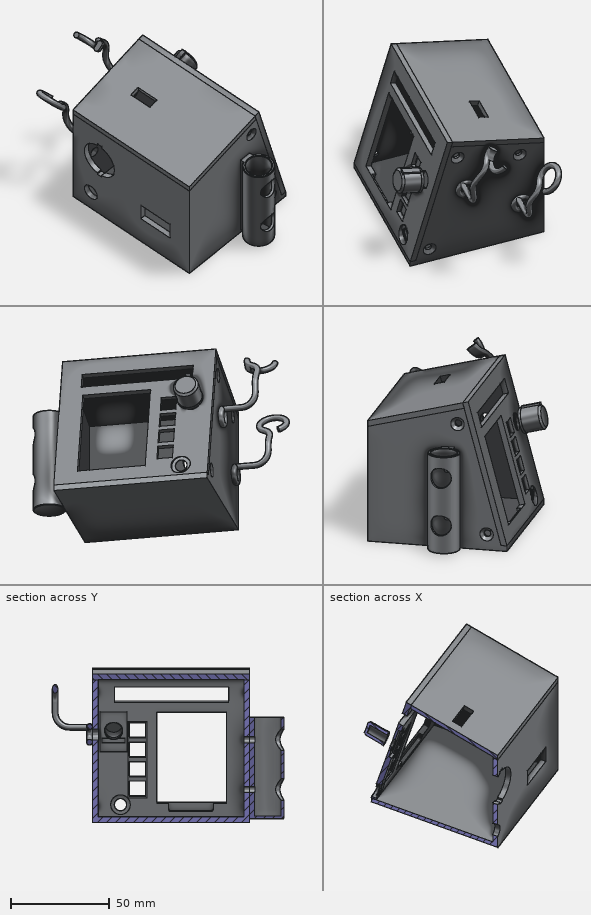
import cadquery as cq
import math

WIDTH = 80.0
DEPTH = 73.0
APEX_Y = 52.7
APEX_Z = 78.6
WALL = 3.0
TILT = 15.0
SIN = math.sin(math.radians(TILT))
COS = math.cos(math.radians(TILT))
THROUGH = 3 * WALL

APEX = (0, APEX_Y, APEX_Z)
PANEL_PLANE = cq.Plane(origin=APEX, xDir=(1, 0, 0), normal=(0, COS, SIN))
LID_PLANE = cq.Plane(origin=APEX, xDir=(-1, 0, 0), normal=(0, -SIN, COS))


def lid_z(y, inset=0.0):
    """Height of the lid face, or of a plane inset from it, at a given Y."""
    return APEX_Z - inset / COS - (APEX_Y - y) * SIN / COS


def panel_y(z, inset=0.0):
    """Y of the panel face, or of a plane inset from it, at a given height."""
    return APEX_Y - inset / COS + (APEX_Z - z) * SIN / COS


def profile(points, x_start, x_end):
    """Prism along X from an outline in Y and Z."""
    prism = cq.Workplane("YZ", origin=(x_start, 0, 0)).polyline(points).close()
    return prism.extrude(x_end - x_start)


def slope_box(plane, x_range, slope_range, top, bottom):
    """Box in a sloping frame between two depths below its outer face."""
    x0, x1 = x_range
    s0, s1 = slope_range
    box = cq.Workplane(plane).workplane(offset=-bottom)
    return box.center((x0 + x1) / 2, (s0 + s1) / 2).rect(x1 - x0, s1 - s0).extrude(bottom - top)


CORNER_Y = APEX_Y - WALL * COS + WALL * SIN
CORNER_Z = APEX_Z - WALL * COS - WALL * SIN
LID_END_Y = APEX_Y - WALL * COS
LID_END_Z = APEX_Z - WALL * SIN

SCREW_DIAMETER = 3.5
SCREW_HEAD_DIAMETER = 7.0
SCREW_SPOTS = [(47.1, 66.2), (62.4, 8.4)]
LEFT_SCREW_SPOT = (13.2, 57.2)
HOOK_SPOTS = [(43.2, 44.9), (13.0, 25.0)]
HOOK_HOLE_DIAMETER = 5.5

DIAL_X, DIAL_Z, DIAL_DIAMETER = 18.1, 39.7, 20.6
KEYWAY_WIDTH, KEYWAY_HEIGHT = 2.9, 22.5
SOCKET_X, SOCKET_Z = 56.6, 21.9
SOCKET_WIDTH, SOCKET_HEIGHT = 20.0, 10.0
CABLE_X, CABLE_Z, CABLE_DIAMETER = 12.2, 11.9, 8.7

HOLDER_Y = 42.2
HOLDER_SCREW_DIAMETER = 3.0
HOLDER_SCREW_HEIGHTS = [16.9, 42.2]


def x_cylinder(y, z, diameter, x_start, x_end):
    start = cq.Workplane("YZ", origin=(x_start, y, z))
    return start.circle(diameter / 2).extrude(x_end - x_start)


def y_cylinder(x, z, diameter, y_start, y_end):
    start = cq.Workplane("XZ", origin=(x, y_start, z))
    return start.circle(diameter / 2).extrude(y_start - y_end)


def countersunk_hole(spot):
    """Screw hole in the left wall with a conical seat for the head."""
    y, z = spot
    sink = (SCREW_HEAD_DIAMETER - SCREW_DIAMETER) / 2
    seat = cq.Solid.makeCone(
        SCREW_HEAD_DIAMETER / 2, SCREW_DIAMETER / 2, sink, cq.Vector(0, y, z), cq.Vector(1, 0, 0)
    )
    return x_cylinder(y, z, SCREW_DIAMETER, 0, WALL).union(cq.Workplane(seat))


def make_housing():
    outside = [
        (0, 0),
        (DEPTH, 0),
        (DEPTH, WALL),
        (panel_y(WALL, WALL), WALL),
        (CORNER_Y, CORNER_Z),
        (0, lid_z(0, WALL)),
    ]
    body = profile(outside, 0, WIDTH)
    inside = [(WALL, WALL), (DEPTH, WALL), (DEPTH, APEX_Z), (WALL, APEX_Z)]
    body = body.cut(profile(inside, WALL, WIDTH - WALL))

    body = body.cut(y_cylinder(DIAL_X, DIAL_Z, DIAL_DIAMETER, 0, WALL))
    keyway = cq.Workplane("XY").box(KEYWAY_WIDTH, 2 * WALL, KEYWAY_HEIGHT)
    body = body.cut(keyway.translate((DIAL_X, 0, DIAL_Z)))
    socket = cq.Workplane("XY").box(SOCKET_WIDTH, THROUGH, SOCKET_HEIGHT)
    body = body.cut(socket.translate((SOCKET_X, 0, SOCKET_Z)))
    body = body.cut(y_cylinder(CABLE_X, CABLE_Z, CABLE_DIAMETER, 0, WALL))

    for spot in [*SCREW_SPOTS, LEFT_SCREW_SPOT]:
        body = body.cut(countersunk_hole(spot))
    for spot in SCREW_SPOTS:
        mirrored = countersunk_hole(spot).mirror("YZ").translate((WIDTH, 0, 0))
        body = body.cut(mirrored)
    for y, z in HOOK_SPOTS:
        body = body.cut(x_cylinder(y, z, HOOK_HOLE_DIAMETER, 0, WALL))
    for z in HOLDER_SCREW_HEIGHTS:
        body = body.cut(x_cylinder(HOLDER_Y, z, HOLDER_SCREW_DIAMETER, WIDTH - WALL, WIDTH))
    return body


LID_SLOT_X = (18.7, 31.7)
LID_SLOT_Y = (23.2, 28.5)


def make_lid():
    outline = [
        (0, lid_z(0)),
        (0, lid_z(0, WALL)),
        (CORNER_Y, CORNER_Z),
        (LID_END_Y, LID_END_Z),
    ]
    lid = profile(outline, 0, WIDTH)
    x0, x1 = LID_SLOT_X
    y0, y1 = LID_SLOT_Y
    slope_range = ((APEX_Y - y1) / COS, (APEX_Y - y0) / COS)
    return lid.cut(slope_box(LID_PLANE, (-x1, -x0), slope_range, -WALL, THROUGH))


BUTTON_X = (18.7, 26.9)
BUTTON_HEIGHT = 8.0
BUTTON_START = 28.2
BUTTON_PITCH = 10.2
BUTTON_COUNT = 4
BUTTON_RECESS_MARGIN = 0.7
BUTTON_RECESS_DEPTH = 0.7
STRIP_X, STRIP_SLOPE = (11.2, 69.2), (9.2, 17.2)
WINDOW_X, WINDOW_SLOPE = (32.7, 68.1), (22.5, 70.6)
NOTCH_X, NOTCH_DROP, NOTCH_TOP = (38.7, 61.5), 4.2, 0.9
NOTCH_FILLET = 1.2
KNOB_X, KNOB_SLOPE, SHAFT_HOLE_DIAMETER = 10.7, 32.9, 9.1
SHAFT_RECESS_WIDTH, SHAFT_RECESS_HEIGHT, SHAFT_RECESS_DEPTH = 13.7, 21.2, 1.5
GROOVE_WIDTH, GROOVE_SLOPE, GROOVE_DEPTH = 11.7, (36.6, 39.0), 0.5
JACK_X, JACK_Z = 14.2, 9.1
JACK_DIAMETER, JACK_BORE_DIAMETER = 6.1, 10.0
JACK_WEB_START, JACK_WEB = 1.2, 0.5


def make_panel():
    outline = [
        APEX[1:],
        (LID_END_Y, LID_END_Z),
        (panel_y(WALL, WALL), WALL),
        (panel_y(WALL), WALL),
    ]
    panel = profile(outline, 0, WIDTH)

    def opening(x_range, slope_range):
        return slope_box(PANEL_PLANE, x_range, slope_range, -WALL, THROUGH)

    for i in range(BUTTON_COUNT):
        start = BUTTON_START + i * BUTTON_PITCH
        panel = panel.cut(opening(BUTTON_X, (start, start + BUTTON_HEIGHT)))
    panel = panel.cut(opening(STRIP_X, STRIP_SLOPE))
    panel = panel.cut(opening(WINDOW_X, WINDOW_SLOPE))

    window_end = WINDOW_SLOPE[1]
    notch_slope = (window_end - NOTCH_DROP, window_end + NOTCH_DROP)
    notch = slope_box(PANEL_PLANE, NOTCH_X, notch_slope, NOTCH_TOP, THROUGH)
    notch_corners = cq.selectors.ParallelDirSelector(PANEL_PLANE.zDir)
    panel = panel.cut(notch.edges(notch_corners).fillet(NOTCH_FILLET))

    margin = BUTTON_RECESS_MARGIN
    button_end = BUTTON_START + (BUTTON_COUNT - 1) * BUTTON_PITCH + BUTTON_HEIGHT
    button_recess = slope_box(
        PANEL_PLANE,
        (BUTTON_X[0] - margin, BUTTON_X[1] + margin),
        (BUTTON_START - margin, button_end + margin),
        WALL - BUTTON_RECESS_DEPTH,
        THROUGH,
    )
    panel = panel.cut(button_recess)
    shaft_recess = slope_box(
        PANEL_PLANE,
        (KNOB_X - SHAFT_RECESS_WIDTH / 2, KNOB_X + SHAFT_RECESS_WIDTH / 2),
        (KNOB_SLOPE - SHAFT_RECESS_HEIGHT / 2, KNOB_SLOPE + SHAFT_RECESS_HEIGHT / 2),
        WALL - SHAFT_RECESS_DEPTH,
        THROUGH,
    )
    panel = panel.cut(shaft_recess)
    groove = slope_box(
        PANEL_PLANE,
        (KNOB_X - GROOVE_WIDTH / 2, KNOB_X + GROOVE_WIDTH / 2),
        GROOVE_SLOPE,
        WALL - SHAFT_RECESS_DEPTH - GROOVE_DEPTH,
        THROUGH,
    )
    panel = panel.cut(groove)

    shaft_hole = cq.Workplane(PANEL_PLANE).workplane(offset=-THROUGH).center(KNOB_X, KNOB_SLOPE)
    panel = panel.cut(shaft_hole.circle(SHAFT_HOLE_DIAMETER / 2).extrude(2 * THROUGH))

    inner_y = panel_y(JACK_Z, WALL)
    near_end = inner_y - THROUGH
    far_end = inner_y + THROUGH
    web_start = inner_y + JACK_WEB_START
    panel = panel.cut(y_cylinder(JACK_X, JACK_Z, JACK_DIAMETER, near_end, far_end))
    panel = panel.cut(y_cylinder(JACK_X, JACK_Z, JACK_BORE_DIAMETER, near_end, web_start))
    return panel.cut(y_cylinder(JACK_X, JACK_Z, JACK_BORE_DIAMETER, web_start + JACK_WEB, far_end))


KNOB_GAP = 3.2
KNOB_HEIGHT = 11.9
KNOB_DIAMETER = 13.0
KNOB_CHAMFER = 1.1
FLANGE_DIAMETER, FLANGE_HEIGHT = 13.4, 1.2
KNOB_BORE_DIAMETER, KNOB_BORE_DEPTH = 9.1, 10.2
POINTER_WIDTH, POINTER_RADIUS, POINTER_ANGLE = 2.7, 7.4, 8.0


def make_knob():
    base = cq.Workplane(PANEL_PLANE).workplane(offset=KNOB_GAP).center(KNOB_X, KNOB_SLOPE)
    knob = base.circle(KNOB_DIAMETER / 2).extrude(KNOB_HEIGHT)
    outer_face = cq.selectors.DirectionMinMaxSelector(PANEL_PLANE.zDir, True)
    knob = knob.faces(outer_face).chamfer(KNOB_CHAMFER)
    knob = knob.union(base.circle(FLANGE_DIAMETER / 2).extrude(FLANGE_HEIGHT))
    pointer = base.workplane(offset=FLANGE_HEIGHT).transformed(rotate=(0, 0, -POINTER_ANGLE))
    pointer = pointer.center(0, -POINTER_RADIUS / 2).rect(POINTER_WIDTH, POINTER_RADIUS)
    knob = knob.union(pointer.extrude(KNOB_HEIGHT - FLANGE_HEIGHT - KNOB_CHAMFER / 2))
    return knob.cut(base.circle(KNOB_BORE_DIAMETER / 2).extrude(KNOB_BORE_DEPTH))


HOLDER_DIAMETER, HOLDER_BORE_DIAMETER = 16.5, 13.4
HOLDER_BOTTOM, HOLDER_HEIGHT = 1.9, 51.9
HOLDER_X = 89.2
HOLDER_CHAMFER = 0.4
STEM_WIDTH = 6.7
ACCESS_DIAMETER = 10.7


def make_holder():
    base = cq.Workplane("XY", origin=(HOLDER_X, HOLDER_Y, HOLDER_BOTTOM))
    tube = base.circle(HOLDER_DIAMETER / 2).extrude(HOLDER_HEIGHT)
    stem_length = HOLDER_X - WIDTH
    stem = base.center(-stem_length / 2, 0).rect(stem_length, STEM_WIDTH).extrude(HOLDER_HEIGHT)
    floor = (HOLDER_DIAMETER - HOLDER_BORE_DIAMETER) / 2
    bore = base.workplane(offset=floor).circle(HOLDER_BORE_DIAMETER / 2).extrude(HOLDER_HEIGHT)
    holder = tube.faces("<Z or >Z").chamfer(HOLDER_CHAMFER).union(stem).cut(bore)
    rim = cq.Solid.makeCone(
        HOLDER_BORE_DIAMETER / 2,
        HOLDER_BORE_DIAMETER / 2 + HOLDER_CHAMFER,
        HOLDER_CHAMFER,
        cq.Vector(HOLDER_X, HOLDER_Y, HOLDER_BOTTOM + HOLDER_HEIGHT - HOLDER_CHAMFER),
    )
    holder = holder.cut(cq.Workplane(rim))
    for z in HOLDER_SCREW_HEIGHTS:
        holder = holder.cut(x_cylinder(HOLDER_Y, z, HOLDER_SCREW_DIAMETER, WIDTH, HOLDER_X))
        access_end = HOLDER_X + HOLDER_DIAMETER
        holder = holder.cut(x_cylinder(HOLDER_Y, z, ACCESS_DIAMETER, HOLDER_X, access_end))
    return holder


WIRE_DIAMETER = 3.0
RING_RADIUS = 4.0
RING_START_ANGLE = 25.0
ARM_LENGTH = 10.0
BEND_RADIUS = 7.5
RISE_LEAN = -5.0
LOOP_LEAN = 40.0
LOOP_RADIUS = 7.0
BOWL_OFFSET = 2.9
ARM_X = -WIRE_DIAMETER / 2


def heading(angle):
    """Unit vector in the YZ plane, leaning from vertical toward -Y."""
    a = math.radians(angle)
    return cq.Vector(0, -math.sin(a), math.cos(a))


def sweep_wire(edges, start, direction):
    section = cq.Workplane(cq.Plane(origin=start.toTuple(), normal=direction.toTuple()))
    return section.circle(WIRE_DIAMETER / 2).sweep(cq.Workplane(cq.Wire.assembleEdges(edges)))


def loop_point(center, angle):
    """Point on the loop circle, by the angle from +X in the loop's plane."""
    a = math.radians(angle)
    across = cq.Vector(LOOP_RADIUS * math.cos(a), 0, 0)
    return center + across + heading(LOOP_LEAN) * (LOOP_RADIUS * math.sin(a))


def loop_arc(center, start_angle, end_angle):
    middle = (start_angle + end_angle) / 2
    points = [loop_point(center, a) for a in (start_angle, middle, end_angle)]
    return cq.Edge.makeThreePointArc(*points)


def make_hook(ring_spot, rise, reach, full_loop):
    """Ring, arm, riser, forward bend and loop; a short loop carries a bowl beside it."""
    ring_center = cq.Vector(ARM_X, *ring_spot)
    left = cq.Vector(-1, 0, 0)
    up = heading(RISE_LEAN)
    forward = heading(LOOP_LEAN)

    arm_start = ring_center + heading(-RING_START_ANGLE) * RING_RADIUS
    arm_end = arm_start + left * ARM_LENGTH
    half = math.sqrt(0.5)
    elbow_center = arm_end + up * BEND_RADIUS
    elbow_middle = elbow_center + (left - up) * (BEND_RADIUS * half)
    elbow_end = elbow_center + left * BEND_RADIUS
    riser_end = elbow_end + up * rise
    bend_center = riser_end + heading(RISE_LEAN + 90) * BEND_RADIUS
    bend_middle = bend_center - heading((RISE_LEAN + LOOP_LEAN) / 2 + 90) * BEND_RADIUS
    bend_end = bend_center - heading(LOOP_LEAN + 90) * BEND_RADIUS
    reach_end = bend_end + forward * reach

    centers_apart = BEND_RADIUS + LOOP_RADIUS
    loop_center = reach_end + forward * math.sqrt(centers_apart**2 - BEND_RADIUS**2)
    reverse_center = reach_end - left * BEND_RADIUS
    meet_angle = -math.degrees(math.acos(BEND_RADIUS / centers_apart))
    turn = math.radians(-meet_angle / 2)
    reverse_middle = reverse_center + (left * math.cos(turn) + forward * math.sin(turn)) * BEND_RADIUS
    loop_end_angle = 180 - meet_angle if full_loop else 0

    edges = [
        cq.Edge.makeLine(arm_start, arm_end),
        cq.Edge.makeThreePointArc(arm_end, elbow_middle, elbow_end),
        cq.Edge.makeLine(elbow_end, riser_end),
        cq.Edge.makeThreePointArc(riser_end, bend_middle, bend_end),
        cq.Edge.makeLine(bend_end, reach_end),
        cq.Edge.makeThreePointArc(reach_end, reverse_middle, loop_point(loop_center, meet_angle)),
        loop_arc(loop_center, meet_angle, loop_end_angle),
    ]
    ring = cq.Solid.makeTorus(RING_RADIUS, WIRE_DIAMETER / 2, ring_center, left)
    hook = sweep_wire(edges, arm_start, left).union(cq.Workplane(ring))
    if not full_loop:
        bowl_center = loop_center + heading(LOOP_LEAN + 90) * BOWL_OFFSET
        bowl = loop_arc(bowl_center, -180, 0)
        hook = hook.union(sweep_wire([bowl], loop_point(bowl_center, -180), forward))
        web_center = (loop_center + bowl_center) * 0.5
        web_plane = cq.Plane(loop_point(web_center, 0).toTuple(), (1, 0, 0), forward.toTuple())
        web_path = cq.Workplane(cq.Wire.assembleEdges([loop_arc(web_center, 0, meet_angle)]))
        web = cq.Workplane(web_plane).rect(WIRE_DIAMETER, BOWL_OFFSET).sweep(web_path)
        hook = hook.union(web)
    return hook


housing = make_housing()
lid = make_lid()
panel = make_panel()
knob = make_knob()
holder = make_holder()
HOOK_SHAPES = [(4.4, 4.5, False), (1.9, 1.9, True)]
hooks = [make_hook(spot, *shape) for spot, shape in zip(HOOK_SPOTS, HOOK_SHAPES)]

result = cq.Compound.makeCompound(
    [
        housing.solids().val(),
        lid.solids().val(),
        panel.solids().val(),
        knob.solids().val(),
        holder.solids().val(),
        *[hook.solids().val() for hook in hooks],
    ]
)